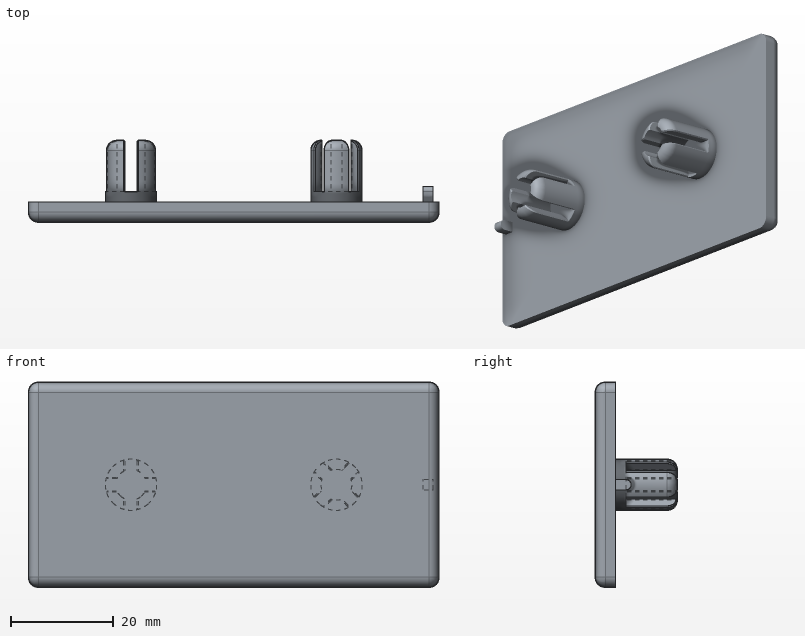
import cadquery as cq
import math

plate_length = 80.0
plate_height = 40.0
plate_thickness = 4.0
edge_radius = 2.0
corner_fit = 0.999

pin_diameter = 10.0
pin_bore_diameter = 6.0
pin_length = 12.0
pin_tip_radius = 2.0
pin_base_height = 2.0
pin_slot_width = 2.4
finger_chamfer = 0.2
pin_spacing = plate_length / 2
left_pin_slot_angle = 0
right_pin_slot_angle = 45

tab_width = 2.0
tab_depth = 2.0
tab_length = 1.5 * tab_width
tab_end_distance = 2.2


def make_plate():
    """Plate with its back at Y = 0 and its rounded face toward -Y."""
    blank = cq.Workplane("XY").box(
        plate_length, plate_thickness, plate_height, centered=(True, False, True)
    ).translate((0, -plate_thickness, 0))
    rounded = blank.edges("|Y").fillet(edge_radius)
    return rounded.faces("<Y").edges().fillet(edge_radius * corner_fit)


def outer_finger_edges(pin):
    """Edges where the slot walls meet the round outside of a pin, tip rounding included."""
    wall_middle_radius = (pin_bore_diameter + pin_diameter) / 4
    edges = []
    for edge in pin.edges().vals():
        middle = edge.positionAt(0.5)
        rises = edge.BoundingBox().zlen > pin_tip_radius / 2
        on_outside = math.hypot(middle.x, middle.y) > wall_middle_radius
        if on_outside and rises:
            edges.append(edge)
    return edges


def make_pin(center_x, slot_angle):
    """Hollow round pin split into four fingers by two crossed slots."""
    pin = cq.Workplane("XY").circle(pin_diameter / 2).extrude(pin_length)
    pin = pin.faces(">Z").edges().fillet(pin_tip_radius)
    cut_start = cq.Workplane("XY").workplane(offset=pin_base_height)
    finger_length = pin_length - pin_base_height
    pin = pin.cut(cut_start.circle(pin_bore_diameter / 2).extrude(finger_length))
    for angle in (0, 90):
        slot = cut_start.rect(pin_diameter * 2, pin_slot_width).extrude(finger_length)
        pin = pin.cut(slot.rotate((0, 0, 0), (0, 0, 1), angle))
    pin = pin.newObject(outer_finger_edges(pin)).chamfer(finger_chamfer)
    pin = pin.rotate((0, 0, 0), (0, 0, 1), slot_angle)
    return pin.rotate((0, 0, 0), (1, 0, 0), -90).translate((center_x, 0, 0))


def make_tab():
    """Tab standing on the back of the plate, its tip rounded about the X axis."""
    center_x = plate_length / 2 - tab_end_distance
    tab_radius = tab_depth / 2
    return (
        cq.Workplane("YZ")
        .moveTo(0, -tab_radius)
        .lineTo(tab_length - tab_radius, -tab_radius)
        .threePointArc((tab_length, 0), (tab_length - tab_radius, tab_radius))
        .lineTo(0, tab_radius)
        .close()
        .extrude(tab_width / 2, both=True)
        .translate((center_x, 0, 0))
    )


result = (
    make_plate()
    .union(make_pin(-pin_spacing / 2, left_pin_slot_angle))
    .union(make_pin(pin_spacing / 2, right_pin_slot_angle))
    .union(make_tab())
)